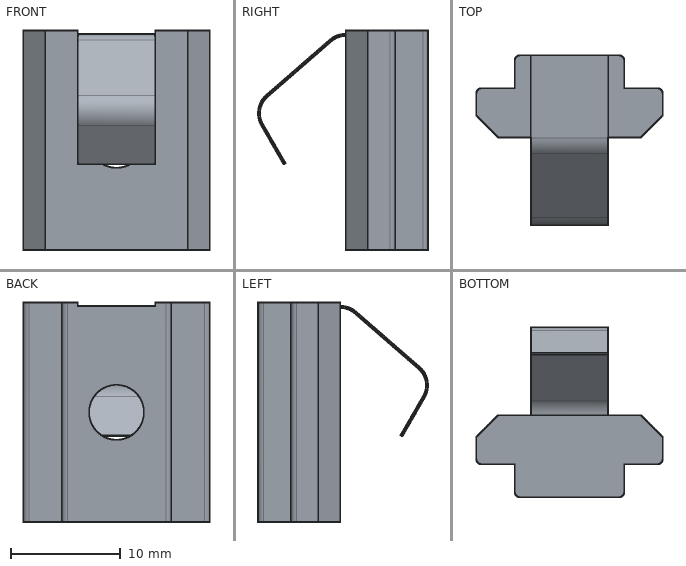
import cadquery as cq
import math

height = 20.0
flange_width = 17.0
flange_depth = 4.5
neck_width = 10.0
neck_depth = 3.0
body_depth = flange_depth + neck_depth
chamfer = 2.0
corner_radius = 0.5
hole_diameter = 5.0

strip_width = 7.05
strip_thickness = 0.2
strip_drop = 0.3
spring_reach = 8.0
bend_radius = 2.2
slope_angle = 41.0
lower_leg_angle = 60.0
lower_leg_length = 4.1


def make_body():
    """T-shaped bar with chamfered front edges, rounded rear edges and a through hole."""
    flange = (
        cq.Workplane("XY")
        .rect(flange_width, flange_depth)
        .extrude(height)
        .translate((0, flange_depth / 2, 0))
        .edges("|Z and <Y")
        .chamfer(chamfer)
        .edges("|Z and >Y")
        .fillet(corner_radius)
    )
    neck = (
        cq.Workplane("XY")
        .rect(neck_width, body_depth)
        .extrude(height)
        .translate((0, body_depth / 2, 0))
        .edges("|Z and >Y")
        .fillet(corner_radius)
    )
    hole = (
        cq.Workplane("XZ")
        .center(0, height / 2)
        .circle(hole_diameter / 2)
        .extrude(-body_depth)
    )
    return flange.union(neck).cut(hole)


def make_groove():
    """Cutter for the shallow groove, open at the front and back, above the strip."""
    return cq.Workplane("XY").box(
        strip_width, body_depth, strip_drop, centered=(True, False, False)
    ).translate((0, 0, height - strip_drop))


def make_spring():
    """Constant-thickness strip with two bends, drawn in the YZ plane."""
    outer = bend_radius
    inner = bend_radius - strip_thickness
    slope = math.radians(slope_angle)
    leg_normal = math.radians(180 - lower_leg_angle)

    upper_center = (0, height - strip_drop - bend_radius)
    lower_center_y = bend_radius - spring_reach
    lower_center = (lower_center_y, upper_center[1] + lower_center_y * math.tan(slope))

    def on_bend(center, radius, angle):
        return (center[0] - radius * math.sin(angle), center[1] + radius * math.cos(angle))

    def leg_tip(radius):
        y, z = on_bend(lower_center, radius, leg_normal)
        return (
            y - lower_leg_length * math.cos(leg_normal),
            z - lower_leg_length * math.sin(leg_normal),
        )

    middle = (slope + leg_normal) / 2
    profile = (
        cq.Workplane("YZ")
        .moveTo(body_depth, height - strip_drop)
        .lineTo(*on_bend(upper_center, outer, 0))
        .threePointArc(on_bend(upper_center, outer, slope / 2), on_bend(upper_center, outer, slope))
        .lineTo(*on_bend(lower_center, outer, slope))
        .threePointArc(on_bend(lower_center, outer, middle), on_bend(lower_center, outer, leg_normal))
        .lineTo(*leg_tip(outer))
        .lineTo(*leg_tip(inner))
        .lineTo(*on_bend(lower_center, inner, leg_normal))
        .threePointArc(on_bend(lower_center, inner, middle), on_bend(lower_center, inner, slope))
        .lineTo(*on_bend(upper_center, inner, slope))
        .threePointArc(on_bend(upper_center, inner, slope / 2), on_bend(upper_center, inner, 0))
        .lineTo(body_depth, height - strip_drop - strip_thickness)
        .close()
    )
    return profile.extrude(strip_width / 2, both=True)


result = make_body().cut(make_groove()).union(make_spring())